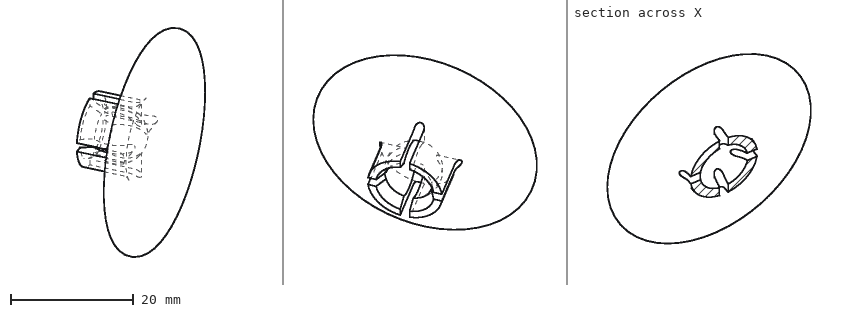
import cadquery as cq
import math

total_length = 12.7
disc_diameter = 38.1
disc_thickness = 3.175
stem_diameter = 12.7
stem_fillet_radius = 2.54
socket_ball_diameter = 9.525
socket_neck_diameter = 7.86
socket_mouth_diameter = 9.95
slot_width = 1.5875

disc_radius = disc_diameter / 2
rim_radius = disc_thickness / 2
stem_radius = stem_diameter / 2
stem_length = total_length - disc_thickness
rim_center_x = stem_length + rim_radius
ball_radius = socket_ball_diameter / 2
neck_radius = socket_neck_diameter / 2
mouth_radius = socket_mouth_diameter / 2
ball_center_x = stem_length - ball_radius
neck_depth = ball_center_x - math.sqrt(ball_radius**2 - neck_radius**2)
slot_depth = stem_length - slot_width / 2


def revolve_about_x(half_profile):
    return half_profile.close().revolve(360, (0, 0, 0), (1, 0, 0))


def make_body():
    """Full-round-edged disc with a stem blended into its face."""
    fillet_start_x = stem_length - stem_fillet_radius
    fillet_end_radius = stem_radius + stem_fillet_radius
    fillet_mid = (
        fillet_start_x + stem_fillet_radius * math.sin(math.pi / 4),
        fillet_end_radius - stem_fillet_radius * math.cos(math.pi / 4),
    )
    rim_start_radius = disc_radius - rim_radius
    half_profile = (
        cq.Workplane("XY")
        .lineTo(0, stem_radius)
        .lineTo(fillet_start_x, stem_radius)
        .threePointArc(fillet_mid, (stem_length, fillet_end_radius))
        .lineTo(stem_length, rim_start_radius)
        .radiusArc((rim_center_x, disc_radius), rim_radius)
        .radiusArc((total_length, rim_start_radius), rim_radius)
        .lineTo(total_length, 0)
    )
    return revolve_about_x(half_profile)


def make_socket():
    """Ball socket with a conical lead-in narrowing to the neck."""
    half_profile = (
        cq.Workplane("XY")
        .lineTo(0, mouth_radius)
        .lineTo(neck_depth, neck_radius)
        .threePointArc((ball_center_x, ball_radius), (stem_length, 0))
    )
    return revolve_about_x(half_profile)


def make_slot(plane):
    """Round-ended slot open at the stem end, cut across the whole stem along the plane normal."""
    half_width = slot_width / 2
    straight_length = slot_depth - half_width
    return (
        cq.Workplane(plane)
        .moveTo(0, -half_width)
        .lineTo(straight_length, -half_width)
        .threePointArc((slot_depth, 0), (straight_length, half_width))
        .lineTo(0, half_width)
        .close()
        .extrude(disc_radius, both=True)
    )


result = make_body().cut(make_socket())
for slot_plane in ("XY", "XZ"):
    result = result.cut(make_slot(slot_plane))